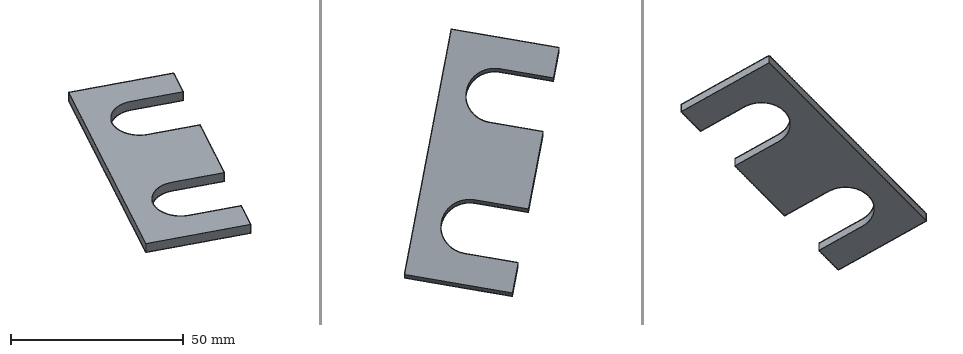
import cadquery as cq

plate_length = 76.2
plate_width = 31.8
plate_thickness = 3.2

slot_width = 16.6
slot_depth = 24.1
slot_spacing = 40.7

slot_radius = slot_width / 2
back_edge_y = plate_width / 2
slot_center_y = back_edge_y - slot_depth + slot_radius


def open_slot(center_x):
    """Cutter with straight sides and a semicircular bottom."""
    left_x = center_x - slot_radius
    right_x = center_x + slot_radius
    return (
        cq.Workplane("XY")
        .moveTo(left_x, back_edge_y)
        .lineTo(left_x, slot_center_y)
        .threePointArc((center_x, slot_center_y - slot_radius), (right_x, slot_center_y))
        .lineTo(right_x, back_edge_y)
        .close()
        .extrude(plate_thickness)
    )


result = cq.Workplane("XY").box(
    plate_length, plate_width, plate_thickness, centered=(True, True, False)
)
for side in (-1, 1):
    result = result.cut(open_slot(side * slot_spacing / 2))